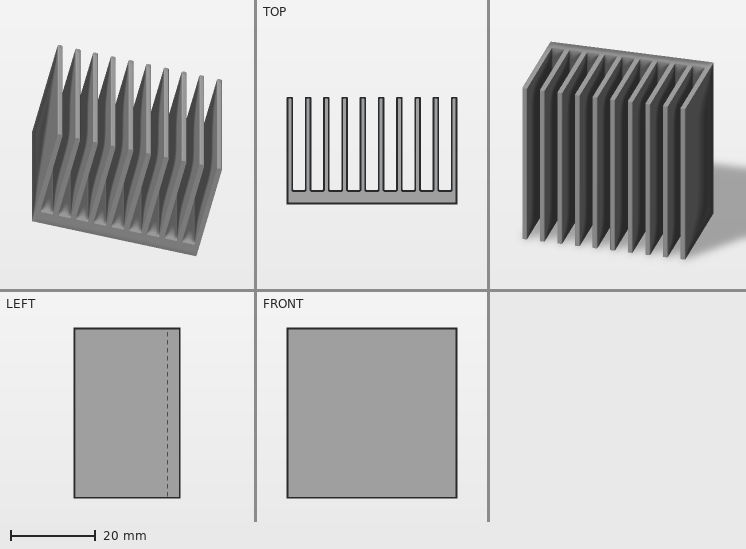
import cadquery as cq

width = 40.0
depth = 25.0
height = 40.0

base_thickness = 3.0
fin_count = 10
fin_thickness = 1.2
tip_radius = 0.3
root_radius = 0.3

fin_pitch = (width - fin_thickness) / (fin_count - 1)
gap_width = fin_pitch - fin_thickness
fin_length = depth - base_thickness


def block():
    """Solid envelope, centred on X, with the flat mounting face at Y = 0."""
    return cq.Workplane("XY").box(width, depth, height, centered=(True, False, False))


def gap(index):
    """Open channel between two neighbouring fins, with rounded root corners."""
    left = -width / 2 + fin_thickness + index * fin_pitch
    return (
        cq.Workplane("XY")
        .box(gap_width, fin_length, height, centered=False)
        .edges("|Z and <Y")
        .fillet(root_radius)
        .translate((left, base_thickness, 0))
    )


def finned_body():
    """Base plate with evenly spaced fins standing along +Y."""
    body = block()
    for index in range(fin_count - 1):
        body = body.cut(gap(index))
    return body


def round_fin_tips(body):
    """Round both long edges at the free end of every fin."""
    return body.faces(">Y").edges("|Z").fillet(tip_radius)


result = round_fin_tips(finned_body())